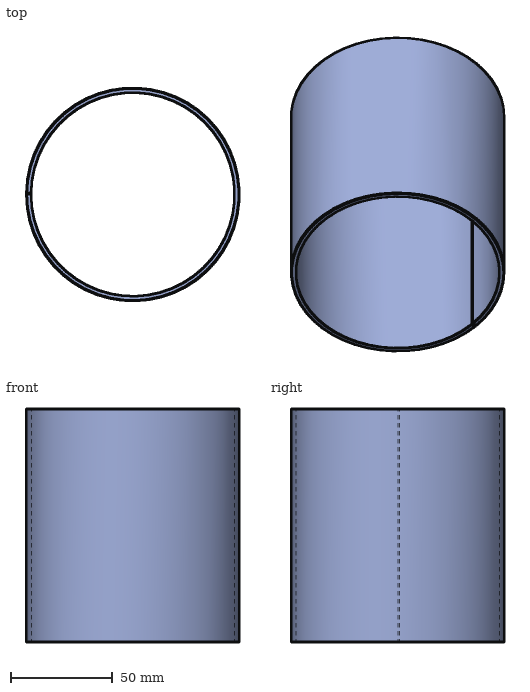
import cadquery as cq

height = 115.0
outer_diameter = 105.0
wall = 2.5
outer_chamfer = 0.5
inner_chamfer = 0.2
slit_angle = 1.0

outer_radius = outer_diameter / 2
inner_radius = outer_radius - wall

wall_section = (
    cq.Workplane("XZ")
    .moveTo(-outer_radius, outer_chamfer)
    .lineTo(-outer_radius, height - outer_chamfer)
    .lineTo(-outer_radius + outer_chamfer, height)
    .lineTo(-inner_radius - inner_chamfer, height)
    .lineTo(-inner_radius, height - inner_chamfer)
    .lineTo(-inner_radius, inner_chamfer)
    .lineTo(-inner_radius - inner_chamfer, 0)
    .lineTo(-outer_radius + outer_chamfer, 0)
    .close()
)

result = wall_section.revolve(360 - slit_angle, (0, 0, 0), (0, 1, 0))